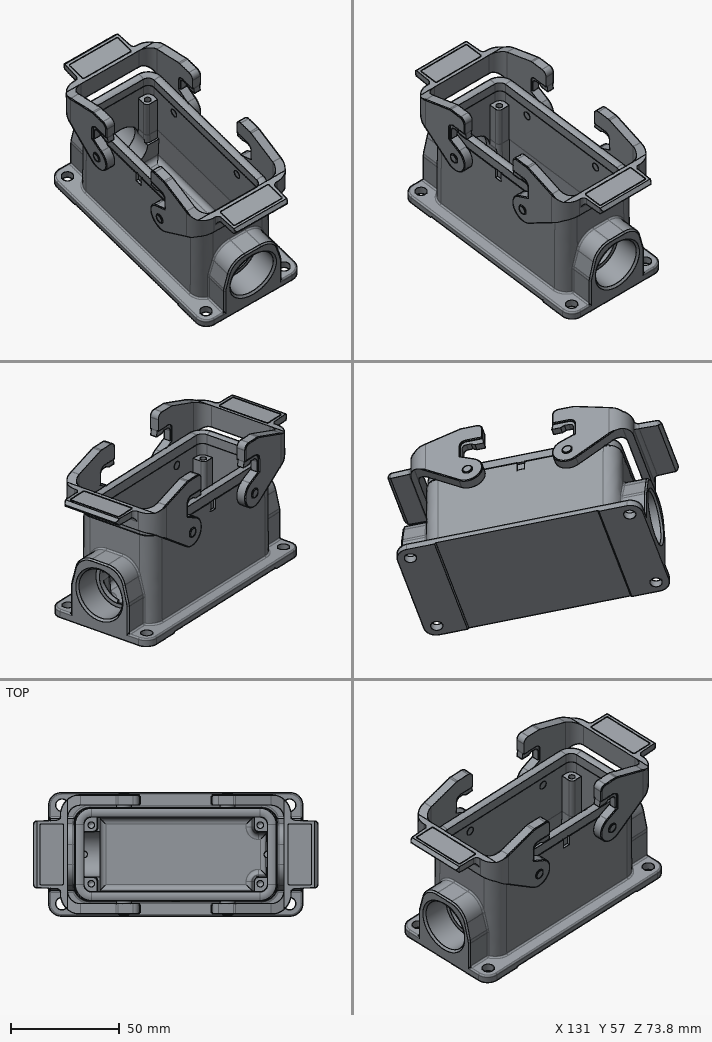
import cadquery as cq
import math

BASE_LENGTH = 117.0
BASE_WIDTH = 57.0
BASE_THICKNESS = 3.9
BASE_CORNER_RADIUS = 5.9
BASE_TOP_FILLET = 0.8
MOUNT_HOLE_DIAMETER = 5.6
MOUNT_HOLE_X = 52.4
MOUNT_HOLE_Y = 22.6
RELIEF_LENGTH = 78.5
RELIEF_DEPTH = 0.7

BODY_LENGTH = 94.0
BODY_WIDTH = 43.7
BODY_CORNER_RADIUS = 7.6
BODY_TOP = 50.1
BODY_DRAFT = 0.4
BODY_FOOT_FILLET = 0.8
WALL_TOP_Y = BODY_WIDTH / 2 - BODY_TOP * math.tan(math.radians(BODY_DRAFT))
RIM_LENGTH = 92.4
RIM_WIDTH = 42.4
RIM_THICKNESS = 3.9
RIM_CORNER_RADIUS = 7.5
RIM_EDGE_HEIGHT = 55.1
RIM_CROWN = 0.5
NOTCH_WIDTH = 3.7
NOTCH_HEIGHT = 5.0
NOTCH_DEPTH = 1.3

CAVITY_LENGTH = 84.3
CAVITY_WIDTH = 34.3
CAVITY_CORNER_RADIUS = 3.4
CAVITY_FLOOR = 5.2
CAVITY_DRAFT = 2.3
DRAFT_START = 23.3
FLOOR_FILLET = 2.6
POST_TOP = 44.2
POST_LENGTH = 6.0
POST_WIDTH = 6.5
POST_CORNER_RADIUS = 2.0
POST_FOOT_SPREAD = 1.3
POST_HOLE_X = 38.9
POST_HOLE_Y = 13.5
SMALL_HOLE_DIAMETER = 3.0
POST_HOLE_DEPTH = 6.5
DRILL_POINT_ANGLE = 118.0
SILL_X = -34.8
SILL_TOP = 18.3
FLOOR_HOLE_BOTTOM = 3.3

ENTRY_AXIS_Z = 19.1
ENTRY_BORE_DIAMETER = 21.0
ENTRY_COUNTERBORE_DIAMETER = 25.0
ENTRY_SHOULDER_X = 44.5
ENTRY_MOUTH_CHAMFER = 1.0
ENTRY_TOP = 36.1
ENTRY_FLAT_HALF_WIDTH = 4.6
ENTRY_SHOULDER_RADIUS = 10.0
ENTRY_SIDE_LEAN = 14.0
ENTRY_HALF_WIDTH = 16.6
ENTRY_BEND_RADIUS = 6.5
ENTRY_EDGE_CHAMFER = 0.8

PIVOT_X = 23.8
PIVOT_Z = 45.8
PEG_ROOT_DEPTH = 1.3
PEG_DIAMETER = 4.8
PEG_END_Y = 28.0
PEG_CHAMFER = 0.4
COLLAR_DIAMETER = 7.0
PEG_MARK_DIAMETER = 4.0
PEG_MARK_DEPTH = 0.1

LEVER_BACK_X = 53.0
LEVER_HALF_WIDTH = 27.5
ARM_THICKNESS = 4.8
BACK_THICKNESS = 3.3
LEVER_OUTER_RADIUS = 9.2
LEVER_INNER_RADIUS = LEVER_OUTER_RADIUS - BACK_THICKNESS
LEVER_BACK_BOTTOM = 56.3
BACK_INNER_BOTTOM = 54.8
LEVER_BACK_TOP = 66.1
LEVER_SLOPE_FOOT = 68.5
LEVER_TOP = 73.8
LEVER_CREST_X = 27.0
EYE_RADIUS = 7.2
HOOK_TIP_X = 16.8
HOOK_CORNER_RADIUS = 2.9
HOOK_UNDERSIDE = 64.9
THROAT_X = 27.4
THROAT_BOTTOM = 55.5
THROAT_RADIUS = 2.9
ARM_EDGE_CHAMFER = 0.4
LIP_INNER_Y = 23.3
LIP_OUTER_Y = 26.7
LIP_THICKNESS = 0.8
LIP_TIP_X = 16.2
LIP_TIP_BOTTOM = 61.9
LIP_BOTTOM = 63.0
LIP_STEP_START_X = 20.4
LIP_STEP_END_X = 22.3

TAB_END_X = 65.5
TAB_ROOT_HALF_WIDTH = 15.8
TAB_END_HALF_WIDTH = 15.3
TAB_THICKNESS = 3.4
TAB_BEVEL = 1.6
TAB_CORNER_RADIUS = 1.6
TAB_ROOT_RADIUS = 2.0
PAD_INNER_X = 51.7
PAD_OUTER_X = 62.5
PAD_HALF_WIDTH = 14.0
PAD_CORNER_RADIUS = 0.5
PAD_DEPTH = 0.3

REACH_MARGIN = 1.3
EDGE_TOLERANCE = 0.1

BOTH_SIDES = (-1, 1)
CORNERS = [(sx, sy) for sx in BOTH_SIDES for sy in BOTH_SIDES]


def rounded_block(length, width, bottom, top, radius, draft=0.0):
    """Upright block with rounded vertical edges, narrowing upward by the draft angle."""
    outline = cq.Sketch().rect(length, width).vertices().fillet(radius)
    return cq.Workplane("XY").workplane(offset=bottom).placeSketch(outline).extrude(top - bottom, taper=draft)


def cylinder_x(diameter, x_start, x_end, z):
    """Cylinder parallel to X on the plane y = 0."""
    return cq.Workplane("YZ", origin=(x_start, 0, z)).circle(diameter / 2).extrude(x_end - x_start)


def cylinder_y(diameter, x, y_start, y_end, z):
    """Cylinder parallel to Y; y_end may lie on either side of y_start."""
    return cq.Workplane("XZ", origin=(x, y_start, z)).circle(diameter / 2).extrude(y_start - y_end)


def base_flange():
    flange = rounded_block(BASE_LENGTH, BASE_WIDTH, 0, BASE_THICKNESS, BASE_CORNER_RADIUS)
    return flange.faces(">Z").edges().fillet(BASE_TOP_FILLET)


def base_relief():
    """Shallow recess with sloping ends across the underside."""
    half = RELIEF_LENGTH / 2
    outline = [(-half, 0), (half, 0),
               (half - RELIEF_DEPTH, RELIEF_DEPTH), (RELIEF_DEPTH - half, RELIEF_DEPTH)]
    return cq.Workplane("XZ").polyline(outline).close().extrude(BASE_WIDTH / 2, both=True)


def cable_entry_block():
    """Arched block along X from end to end of the base; the cavity later divides it."""
    lean = math.radians(ENTRY_SIDE_LEAN)
    arc_center_z = ENTRY_TOP - ENTRY_SHOULDER_RADIUS

    def shoulder_point(angle):
        return (ENTRY_FLAT_HALF_WIDTH + ENTRY_SHOULDER_RADIUS * math.cos(angle),
                arc_center_z + ENTRY_SHOULDER_RADIUS * math.sin(angle))

    arc_end = shoulder_point(lean)
    arc_middle = shoulder_point((lean + math.pi / 2) / 2)
    corner_z = arc_end[1] - (ENTRY_HALF_WIDTH - arc_end[0]) / math.tan(lean)
    bend = ENTRY_BEND_RADIUS * math.tan(lean / 2)
    bend_top = (ENTRY_HALF_WIDTH - bend * math.sin(lean), corner_z + bend * math.cos(lean))
    bend_center_y = ENTRY_HALF_WIDTH - ENTRY_BEND_RADIUS
    bend_middle = (bend_center_y + ENTRY_BEND_RADIUS * math.cos(lean / 2),
                   corner_z - bend + ENTRY_BEND_RADIUS * math.sin(lean / 2))
    half_profile = (
        cq.Workplane("YZ")
        .moveTo(0, 0)
        .lineTo(0, ENTRY_TOP)
        .lineTo(ENTRY_FLAT_HALF_WIDTH, ENTRY_TOP)
        .threePointArc(arc_middle, arc_end)
        .lineTo(*bend_top)
        .threePointArc(bend_middle, (ENTRY_HALF_WIDTH, corner_z - bend))
        .lineTo(ENTRY_HALF_WIDTH, 0)
        .close()
    )
    half = half_profile.extrude(BASE_LENGTH / 2, both=True)
    block = half.union(half.mirror("XZ")).clean()
    return block.faces("<X or >X").edges("not <Z").chamfer(ENTRY_EDGE_CHAMFER)


def sealing_rim():
    """Rim with a gently crowned top, swept round the mouth of the housing."""
    edge_height = RIM_EDGE_HEIGHT - BODY_TOP
    path_length = RIM_LENGTH - RIM_THICKNESS
    path_width = RIM_WIDTH - RIM_THICKNESS
    path_sketch = cq.Sketch().rect(path_length, path_width)
    path_sketch = path_sketch.vertices().fillet(RIM_CORNER_RADIUS - RIM_THICKNESS / 2)
    path_plate = cq.Workplane("XY").workplane(offset=BODY_TOP).placeSketch(path_sketch).extrude(edge_height)
    path = path_plate.faces("<Z").wires()
    half = RIM_THICKNESS / 2
    section = (
        cq.Workplane("YZ", origin=(0, -path_width / 2, BODY_TOP))
        .moveTo(-half, 0)
        .lineTo(half, 0)
        .lineTo(half, edge_height)
        .threePointArc((0, edge_height + RIM_CROWN), (-half, edge_height))
        .close()
    )
    return section.sweep(path)


def cavity_space():
    """Inner space: drafted lower walls, four corner posts and a sill under the -X cable entry."""
    upper = rounded_block(CAVITY_LENGTH, CAVITY_WIDTH, DRAFT_START, RIM_EDGE_HEIGHT, CAVITY_CORNER_RADIUS)
    lower_sketch = cq.Sketch().rect(CAVITY_LENGTH, CAVITY_WIDTH).vertices().fillet(CAVITY_CORNER_RADIUS)
    lower_plane = cq.Workplane("XY").workplane(offset=DRAFT_START)
    lower = lower_plane.placeSketch(lower_sketch).extrude(CAVITY_FLOOR - DRAFT_START, taper=CAVITY_DRAFT)
    space = upper.union(lower)

    post = rounded_block(2 * POST_LENGTH, 2 * POST_WIDTH, DRAFT_START, POST_TOP, POST_CORNER_RADIUS)
    foot_draft = math.degrees(math.atan(POST_FOOT_SPREAD / (DRAFT_START - CAVITY_FLOOR)))
    foot_length = 2 * (POST_LENGTH + POST_FOOT_SPREAD)
    foot_width = 2 * (POST_WIDTH + POST_FOOT_SPREAD)
    foot_radius = POST_CORNER_RADIUS + POST_FOOT_SPREAD
    foot = rounded_block(foot_length, foot_width, CAVITY_FLOOR, DRAFT_START, foot_radius, foot_draft)
    post = post.union(foot)
    for sx, sy in CORNERS:
        space = space.cut(post.translate((sx * CAVITY_LENGTH / 2, sy * CAVITY_WIDTH / 2, 0)))

    sill_size = (BASE_LENGTH / 2 + SILL_X, CAVITY_WIDTH, SILL_TOP)
    sill = cq.Workplane("XY").box(*sill_size, centered=(False, True, False))
    space = space.cut(sill.translate((-BASE_LENGTH / 2, 0, 0)))
    return space.faces("<Z").edges().fillet(FLOOR_FILLET)


def cable_entry_bores():
    """Stepped bore with a chamfered mouth at each end."""
    end_x = BASE_LENGTH / 2
    bores = cylinder_x(ENTRY_BORE_DIAMETER, -end_x, end_x, ENTRY_AXIS_Z)
    for sx in BOTH_SIDES:
        shoulder_x = sx * ENTRY_SHOULDER_X
        bores = bores.union(cylinder_x(ENTRY_COUNTERBORE_DIAMETER, shoulder_x, sx * end_x, ENTRY_AXIS_Z))
    radius = ENTRY_COUNTERBORE_DIAMETER / 2
    for sx in BOTH_SIDES:
        cone = cq.Solid.makeCone(radius + ENTRY_MOUTH_CHAMFER, radius, ENTRY_MOUTH_CHAMFER,
                                 cq.Vector(sx * end_x, 0, ENTRY_AXIS_Z), cq.Vector(-sx, 0, 0))
        bores = bores.union(cq.Workplane(cone))
    return bores


def post_holes():
    """Blind drilled holes in the post tops."""
    radius = SMALL_HOLE_DIAMETER / 2
    point_depth = radius / math.tan(math.radians(DRILL_POINT_ANGLE / 2))
    bottom = POST_TOP - POST_HOLE_DEPTH
    profile = [(0, POST_TOP), (radius, POST_TOP), (radius, bottom), (0, bottom - point_depth)]
    drill = cq.Workplane("XZ").polyline(profile).close().revolve(360, (0, 0, 0), (0, 1, 0))
    holes = cq.Workplane("XY")
    for sx, sy in CORNERS:
        holes = holes.add(drill.translate((sx * POST_HOLE_X, sy * POST_HOLE_Y, 0)))
    return holes.combine()


def pivot_peg(sx, sy):
    """Stepped peg with a collar that spaces the lever off the housing wall."""
    collar_end_y = sy * (LEVER_HALF_WIDTH - ARM_THICKNESS)
    root_y = sy * (WALL_TOP_Y - PEG_ROOT_DEPTH)
    collar = cylinder_y(COLLAR_DIAMETER, sx * PIVOT_X, root_y, collar_end_y, PIVOT_Z)
    peg = cylinder_y(PEG_DIAMETER, sx * PIVOT_X, root_y, sy * PEG_END_Y, PIVOT_Z)
    peg = peg.faces(">Y" if sy > 0 else "<Y").edges().chamfer(PEG_CHAMFER)
    return collar.union(peg)


def round_body_foot(shell):
    """Blend the body into the flange and into the cable entry blocks."""
    flange_reach = (BASE_LENGTH / 2 - REACH_MARGIN, BASE_WIDTH / 2 - REACH_MARGIN)
    foot_edges = cq.selectors.BoxSelector(
        (-flange_reach[0], -flange_reach[1], BASE_THICKNESS - EDGE_TOLERANCE),
        (*flange_reach, BASE_THICKNESS + EDGE_TOLERANCE))
    seam_reach = (BODY_LENGTH / 2 + REACH_MARGIN, ENTRY_HALF_WIDTH + REACH_MARGIN)
    seam_edges = cq.selectors.BoxSelector((-seam_reach[0], -seam_reach[1], BASE_THICKNESS),
                                          (*seam_reach, ENTRY_TOP + REACH_MARGIN), boundingbox=True)
    flat_wall_edges = cq.selectors.BoxSelector((-POST_HOLE_X, -seam_reach[1], 0),
                                               (POST_HOLE_X, seam_reach[1], ENTRY_TOP + REACH_MARGIN))
    return shell.edges(foot_edges + (seam_edges - flat_wall_edges)).fillet(BODY_FOOT_FILLET)


def make_housing():
    body = rounded_block(BODY_LENGTH, BODY_WIDTH, 0, BODY_TOP, BODY_CORNER_RADIUS, BODY_DRAFT)
    shell = base_flange().union(body).union(cable_entry_block())
    shell = round_body_foot(shell)
    shell = shell.cut(base_relief()).cut(cavity_space()).union(sealing_rim()).cut(cable_entry_bores())

    mount_points = [(sx * MOUNT_HOLE_X, sy * MOUNT_HOLE_Y) for sx, sy in CORNERS]
    mount_holes = cq.Workplane("XY").pushPoints(mount_points).circle(MOUNT_HOLE_DIAMETER / 2)
    shell = shell.cut(mount_holes.extrude(BASE_THICKNESS))

    floor_points = [(sx * CAVITY_LENGTH / 2, 0) for sx in BOTH_SIDES]
    floor_holes = cq.Workplane("XY").workplane(offset=FLOOR_HOLE_BOTTOM).pushPoints(floor_points)
    shell = shell.cut(floor_holes.circle(SMALL_HOLE_DIAMETER / 2).extrude(ENTRY_AXIS_Z - FLOOR_HOLE_BOTTOM))
    shell = shell.cut(post_holes())

    for sy in BOTH_SIDES:
        notch = cq.Workplane("XY").box(NOTCH_WIDTH, 2 * NOTCH_DEPTH, NOTCH_HEIGHT)
        shell = shell.cut(notch.translate((0, sy * WALL_TOP_Y, BODY_TOP - NOTCH_HEIGHT / 2)))

    for sx, sy in CORNERS:
        shell = shell.union(pivot_peg(sx, sy))
        inner_y = sy * CAVITY_WIDTH / 2
        mark = cylinder_y(PEG_MARK_DIAMETER, sx * PIVOT_X, inner_y, inner_y + sy * PEG_MARK_DEPTH, PIVOT_Z)
        shell = shell.cut(mark)
    return shell


def tangent_point(x, z, side):
    """Point where a line from (x, z) touches the pivot eye; side +1 or -1 picks the tangent."""
    dx = x + PIVOT_X
    dz = z - PIVOT_Z
    angle = math.atan2(dz, dx) + side * math.acos(EYE_RADIUS / math.hypot(dx, dz))
    return (-PIVOT_X + EYE_RADIUS * math.cos(angle), PIVOT_Z + EYE_RADIUS * math.sin(angle))


def lever_side_profile():
    """Side outline of the lever, with eye, throat and hook, extruded over the full width."""
    back_inner_x = BACK_THICKNESS - LEVER_BACK_X
    eye_lower = tangent_point(back_inner_x, BACK_INNER_BOTTOM, 1)
    eye_upper = tangent_point(-THROAT_X, THROAT_BOTTOM, -1)
    outline = (
        cq.Workplane("XZ")
        .moveTo(-LEVER_BACK_X, LEVER_BACK_BOTTOM)
        .lineTo(back_inner_x, BACK_INNER_BOTTOM)
        .lineTo(*eye_lower)
        .threePointArc((EYE_RADIUS - PIVOT_X, PIVOT_Z), eye_upper)
        .lineTo(-THROAT_X, THROAT_BOTTOM)
        .lineTo(-THROAT_X, HOOK_UNDERSIDE - THROAT_RADIUS)
        .radiusArc((THROAT_RADIUS - THROAT_X, HOOK_UNDERSIDE), THROAT_RADIUS)
        .lineTo(-HOOK_TIP_X, HOOK_UNDERSIDE)
        .lineTo(-HOOK_TIP_X, LEVER_TOP - HOOK_CORNER_RADIUS)
        .radiusArc((-HOOK_TIP_X - HOOK_CORNER_RADIUS, LEVER_TOP), -HOOK_CORNER_RADIUS)
        .lineTo(-LEVER_CREST_X, LEVER_TOP)
        .lineTo(LEVER_OUTER_RADIUS - LEVER_BACK_X, LEVER_SLOPE_FOOT)
        .lineTo(back_inner_x, LEVER_BACK_TOP)
        .lineTo(-LEVER_BACK_X, LEVER_BACK_TOP)
        .close()
    )
    plate = outline.extrude(LEVER_HALF_WIDTH, both=True)
    crest = cq.NearestToPointSelector((-LEVER_CREST_X, 0, LEVER_TOP))
    plate = plate.edges("|Y").edges(crest).fillet(HOOK_CORNER_RADIUS)
    return plate.faces("<Y or >Y").edges().chamfer(ARM_EDGE_CHAMFER)


def lever_bow():
    """U-shaped bow: two arms joined by a back wall with rounded corners."""
    outer_width = 2 * LEVER_HALF_WIDTH
    outer = cq.Workplane("XY").box(LEVER_BACK_X, outer_width, LEVER_TOP, centered=(False, True, False))
    outer = outer.edges("|Z and <X").fillet(LEVER_OUTER_RADIUS).translate((-LEVER_BACK_X, 0, 0))
    inner_width = 2 * (LEVER_HALF_WIDTH - ARM_THICKNESS)
    inner = cq.Workplane("XY").box(LEVER_BACK_X, inner_width, LEVER_TOP, centered=(False, True, False))
    inner = inner.edges("|Z and <X").fillet(LEVER_INNER_RADIUS)
    return outer.intersect(lever_side_profile()).cut(inner.translate((BACK_THICKNESS - LEVER_BACK_X, 0, 0)))


def hook_lip():
    """Narrow rib that lines the throat and ends in a drooping lip under the hook."""
    inner_x = LIP_THICKNESS - THROAT_X
    bend = THROAT_RADIUS - LIP_THICKNESS
    outline = (
        cq.Workplane("XZ", origin=(0, LIP_OUTER_Y, 0))
        .moveTo(-THROAT_X, THROAT_BOTTOM)
        .lineTo(inner_x, THROAT_BOTTOM)
        .lineTo(inner_x, LIP_BOTTOM - bend)
        .radiusArc((inner_x + bend, LIP_BOTTOM), bend)
        .lineTo(-LIP_STEP_END_X, LIP_BOTTOM)
        .lineTo(-LIP_STEP_START_X, LIP_TIP_BOTTOM)
        .lineTo(-LIP_TIP_X, LIP_TIP_BOTTOM)
        .lineTo(-HOOK_TIP_X, HOOK_UNDERSIDE)
        .lineTo(THROAT_RADIUS - THROAT_X, HOOK_UNDERSIDE)
        .radiusArc((-THROAT_X, HOOK_UNDERSIDE - THROAT_RADIUS), -THROAT_RADIUS)
        .close()
    )
    return outline.extrude(LIP_OUTER_Y - LIP_INNER_Y)


def grip_tab():
    """Flat finger tab with a bevelled end and rounded corners."""
    root_x = BACK_THICKNESS / 2 - LEVER_BACK_X
    bottom = LEVER_BACK_TOP - TAB_THICKNESS
    middle = LEVER_BACK_TOP - TAB_THICKNESS / 2
    outline = [(root_x, bottom), (TAB_BEVEL - TAB_END_X, bottom), (-TAB_END_X, middle),
               (TAB_BEVEL - TAB_END_X, LEVER_BACK_TOP), (root_x, LEVER_BACK_TOP)]
    tab = cq.Workplane("XZ").polyline(outline).close().extrude(TAB_ROOT_HALF_WIDTH, both=True)
    plan = [(root_x, -TAB_ROOT_HALF_WIDTH), (-TAB_END_X, -TAB_END_HALF_WIDTH),
            (-TAB_END_X, TAB_END_HALF_WIDTH), (root_x, TAB_ROOT_HALF_WIDTH)]
    plan_block = cq.Workplane("XY").polyline(plan).close().extrude(LEVER_TOP)
    return tab.intersect(plan_block.edges("|Z and <X").fillet(TAB_CORNER_RADIUS))


def tab_pad_recess():
    """Shallow pad recess in the top of the tab."""
    length = PAD_OUTER_X - PAD_INNER_X
    floor_z = LEVER_BACK_TOP - PAD_DEPTH
    pad = rounded_block(length, 2 * PAD_HALF_WIDTH, floor_z, LEVER_BACK_TOP, PAD_CORNER_RADIUS)
    return pad.translate((-(PAD_INNER_X + PAD_OUTER_X) / 2, 0, 0))


def make_lever():
    lever = lever_bow().union(grip_tab())
    outer_x = -LEVER_BACK_X
    reach_y = TAB_ROOT_HALF_WIDTH + EDGE_TOLERANCE
    tab_bottom = LEVER_BACK_TOP - TAB_THICKNESS
    root_edges = cq.selectors.BoxSelector(
        (outer_x - EDGE_TOLERANCE, -reach_y, tab_bottom - EDGE_TOLERANCE),
        (outer_x + EDGE_TOLERANCE, reach_y, LEVER_BACK_TOP - EDGE_TOLERANCE))
    lever = lever.edges(root_edges).fillet(TAB_ROOT_RADIUS)
    lever = lever.cut(tab_pad_recess())
    lip = hook_lip()
    lever = lever.union(lip).union(lip.mirror("XZ"))
    pivot_hole = cylinder_y(PEG_DIAMETER, -PIVOT_X, -LEVER_HALF_WIDTH, LEVER_HALF_WIDTH, PIVOT_Z)
    return lever.cut(pivot_hole)


housing = make_housing()
left_lever = make_lever()
levers = [left_lever, left_lever.rotate((0, 0, 0), (0, 0, 1), 180)]

result = cq.Compound.makeCompound([housing.val(), *[lever.val() for lever in levers]])